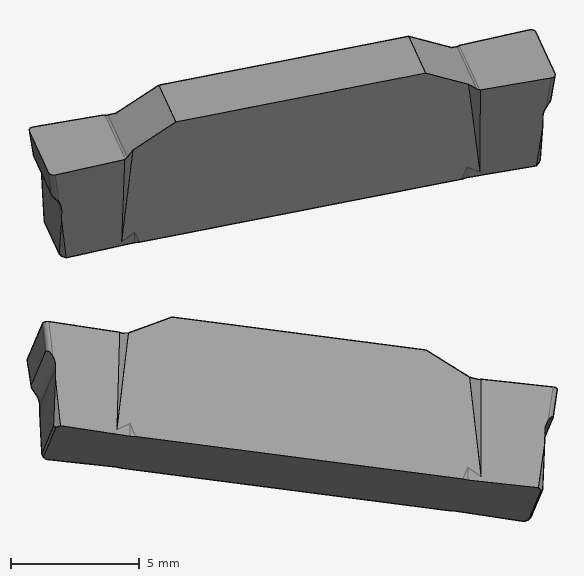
import cadquery as cq
import math

length = 20.53
width = 3.0
height = 5.79
body_half_width = 1.15
deck_height = 4.6

nose_bottom_depth = 0.15
nose_bottom_height = 3.37
relief_depth = 0.51
relief_height = 2.55
relief_radius = 1.03
bottom_chamfer = 0.08
ramp_depth = 3.15
ramp_angle = 30.0
ramp_fillet = 0.2

nose_corner_radius = 0.2
back_taper = 0.037
side_draft = 0.056
head_half_width = width / 2 + back_taper * nose_corner_radius
shoulder_depth = 3.05
shoulder_lean = 0.012
shoulder_slope = 1.6
shoulder_root = 1.03
head_height = 5.03

recess_depth = 3.53
recess_runout = 0.2
corner_cut_height = 2.05
corner_cut = 0.23


def along(depth):
    """Y position at a depth inward from the -Y end."""
    return depth - length / 2


def side_half_width(depth, z):
    return head_half_width - back_taper * depth - side_draft * (deck_height - z)


def tetrahedron(a, b, c, d):
    faces = []
    for corners in ((a, b, c), (a, b, d), (a, c, d), (b, c, d)):
        outline = [cq.Vector(*p) for p in corners]
        faces.append(cq.Face.makeFromWires(cq.Wire.makePolygon(outline, close=True)))
    return cq.Workplane(obj=cq.Solid.makeSolid(cq.Shell.makeShell(faces)))


def make_profile():
    """Half of the side outline, from the end to mid-length, wider than the part."""
    ramp_top = ramp_depth + (height - deck_height) / math.tan(math.radians(ramp_angle))
    solid = (
        cq.Workplane("YZ")
        .moveTo(0, 0)
        .lineTo(along(relief_depth + bottom_chamfer), 0)
        .lineTo(along(relief_depth), bottom_chamfer)
        .lineTo(along(relief_depth), relief_height)
        .radiusArc((along(nose_bottom_depth), nose_bottom_height), -relief_radius)
        .lineTo(along(0), deck_height)
        .lineTo(along(ramp_depth), deck_height)
        .lineTo(along(ramp_top), height)
        .lineTo(0, height)
        .close()
        .extrude(width)
    )
    ramp_foot = cq.selectors.NearestToPointSelector((width / 2, along(ramp_depth), deck_height))
    return solid.edges(ramp_foot).fillet(ramp_fillet)


def head_outline(z):
    """Plan outline of half a head at one height."""
    depth = shoulder_depth - shoulder_lean * (deck_height - z)
    half_width = side_half_width(depth, z)
    root_depth = depth + shoulder_slope * (half_width - shoulder_root)
    corners = [
        (0, 0),
        (side_half_width(0, z), 0),
        (half_width, depth),
        (shoulder_root, root_depth),
        (0, root_depth),
    ]
    return cq.Wire.makePolygon([cq.Vector(x, along(d), z) for x, d in corners], close=True)


def make_head():
    return cq.Workplane(obj=cq.Solid.makeLoft([head_outline(0), head_outline(head_height)], True))


def recess_start():
    """Depth at which the head side wall meets the body side at the bottom."""
    return (side_half_width(0, 0) - body_half_width) / back_taper


def make_body():
    start = along(recess_start())
    return cq.Workplane("XY").box(body_half_width, -start, height, centered=False).translate((0, start, 0))


def make_recess():
    """Sliver where the head side wall runs on into the body side."""
    inner = side_half_width(recess_depth, 0)
    top = (body_half_width - inner) / side_draft
    return tetrahedron(
        (body_half_width, along(recess_start()), 0),
        (body_half_width, along(recess_depth), top),
        (body_half_width, along(recess_depth + recess_runout), 0),
        (inner, along(recess_depth), 0),
    )


def make_corner_cut():
    """Chamfer on the lower end corner that widens toward the bottom."""
    corner = side_half_width(relief_depth, 0)
    back_depth = relief_depth + corner_cut
    return tetrahedron(
        (side_half_width(relief_depth, corner_cut_height), along(relief_depth), corner_cut_height),
        (corner - corner_cut, along(relief_depth), 0),
        (side_half_width(back_depth, 0), along(back_depth), 0),
        (corner, along(relief_depth), 0),
    )


def round_nose_corner(solid):
    middle = (deck_height + nose_bottom_height) / 2
    point = (side_half_width(0, middle), along(nose_bottom_depth / 2), middle)
    return solid.edges(cq.selectors.NearestToPointSelector(point)).fillet(nose_corner_radius)


quarter = make_body().union(make_head()).intersect(make_profile())
quarter = round_nose_corner(quarter)
quarter = quarter.cut(make_recess()).cut(make_corner_cut())
half = quarter.union(quarter.mirror("YZ"))
result = half.union(half.mirror("XZ")).clean()